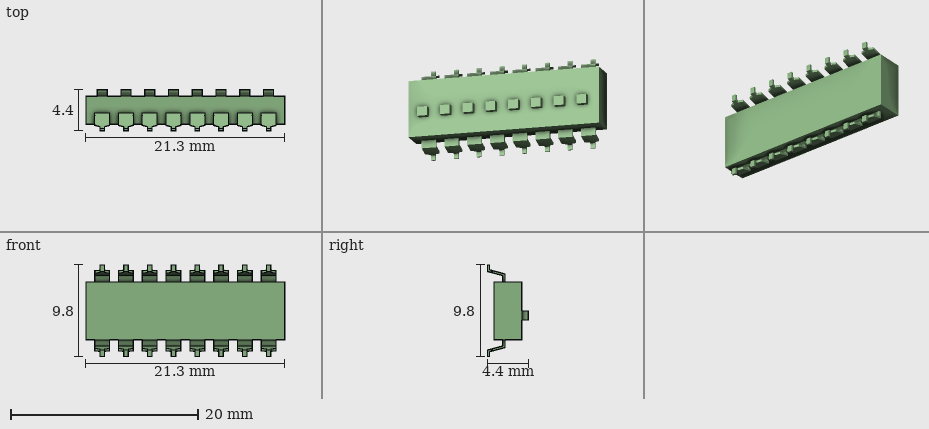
import cadquery as cq
import math

body_length = 21.26
body_depth = 3.0
body_height = 6.2

position_count = 8
pitch = 2.54

knob_width = 1.1
knob_height = 1.0
knob_projection = 0.7

lead_thickness = 0.25
lead_width = 1.6
foot_width = 0.5
lead_inset = 0.95
lead_rise = 0.65
lead_slope = math.radians(15)
foot_projection = 0.7
overall_height = 9.8
shoulder_projection = 0.12
taper_length = 0.15

front_face = -body_depth / 2
back_face = body_depth / 2
body_top = body_height / 2
position_centres = [(i - (position_count - 1) / 2) * pitch for i in range(position_count)]


def make_knob(x):
    """Slider knob standing out of the +Y face, its top edge at mid-height."""
    return cq.Workplane("XY").box(
        knob_width, knob_projection, knob_height, centered=(True, False, False)
    ).translate((x, back_face, -knob_height))


def make_bent_strip():
    """Full-width strip: up from the body, forward along the slope, then up to the foot tip."""
    root_front = front_face + lead_inset
    root_back = root_front + lead_thickness
    foot_front = front_face - foot_projection
    foot_back = foot_front + lead_thickness
    tip = overall_height / 2

    slope_offset = lead_thickness / math.cos(lead_slope)
    inner_bend = body_top + lead_rise

    def lower_side(y):
        return inner_bend + (root_front - y) * math.tan(lead_slope)

    def upper_side(y):
        return lower_side(y) + slope_offset

    profile = [
        (root_back, body_top),
        (root_back, upper_side(root_back)),
        (foot_back, upper_side(foot_back)),
        (foot_back, tip),
        (foot_front, tip),
        (foot_front, lower_side(foot_front)),
        (root_front, inner_bend),
        (root_front, body_top),
    ]
    return cq.Workplane("YZ").polyline(profile).close().extrude(lead_width / 2, both=True)


def make_lead_outline():
    """Upright prism with the lead's plan shape: wide root, tapered shoulders, narrow foot."""
    root_back = front_face + lead_inset + lead_thickness
    taper_start = front_face - shoulder_projection
    taper_end = taper_start - taper_length
    foot_front = front_face - foot_projection
    outline = [
        (-lead_width / 2, root_back),
        (lead_width / 2, root_back),
        (lead_width / 2, taper_start),
        (foot_width / 2, taper_end),
        (foot_width / 2, foot_front),
        (-foot_width / 2, foot_front),
        (-foot_width / 2, taper_end),
        (-lead_width / 2, taper_start),
    ]
    return cq.Workplane("XY").polyline(outline).close().extrude(overall_height / 2)


upper_lead = make_bent_strip().intersect(make_lead_outline())
lower_lead = upper_lead.mirror("XY")

result = cq.Workplane("XY").box(body_length, body_depth, body_height)
for x_centre in position_centres:
    result = result.union(make_knob(x_centre))
    result = result.union(upper_lead.translate((x_centre, 0, 0)))
    result = result.union(lower_lead.translate((x_centre, 0, 0)))